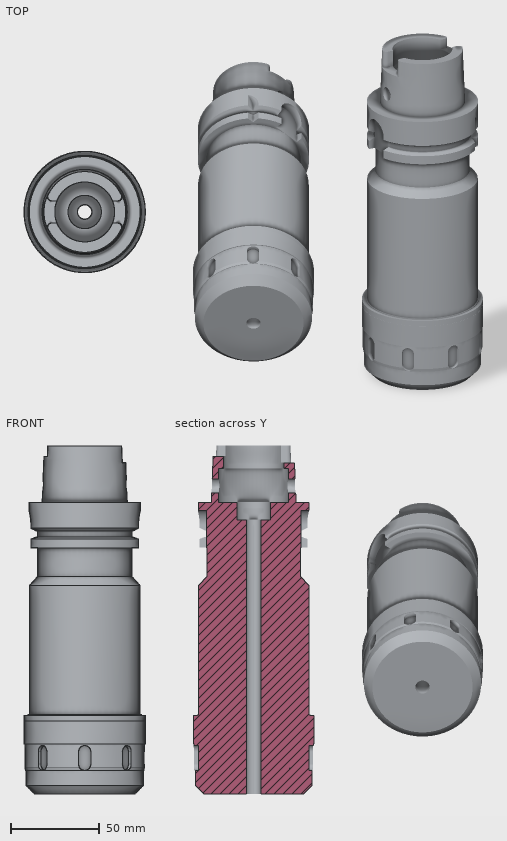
import cadquery as cq

LENGTH = 197.0

NOSE_FACE_DIAMETER = 56.7
NOSE_DIAMETER = 66.4
NOSE_CHAMFER_HEIGHT = (NOSE_DIAMETER - NOSE_FACE_DIAMETER) / 2
NOSE_TOP_Z = 13.2
GRIP_EDGE_DIAMETER = 67.0
GRIP_EDGE_TOP_Z = 15.0
GRIP_DIAMETER = 67.8
GRIP_TOP_Z = 28.4
RING_DIAMETER = 68.8
RIM_DIAMETER = 68.5
RIM_Z = 41.4
RING_TOP_Z = 44.5

SLOT_COUNT = 8
SLOT_WIDTH = 6.9
SLOT_BOTTOM_Z = 13.4
SLOT_TOP_Z = 27.4
SLOT_FLOOR_X = 31.5

COLLAR_DIAMETER = 64.2
COLLAR_HEIGHT = 0.4
COLLAR_TOP_Z = RING_TOP_Z + COLLAR_HEIGHT
BODY_DIAMETER = 62.6
BODY_TOP_Z = 118.0
NECK_DIAMETER = 53.4
NECK_START_Z = 123.1

FLANGE_DIAMETER = 63.0
FLANGE_BOTTOM_Z = 139.3
FLANGE_TOP_Z = 165.0
GROOVE_DIAMETER = 55.5
GROOVE_LIP_DIAMETER = 57.1
GROOVE_MOUTH_LOW_Z = 144.2
GROOVE_LOW_Z = 145.4
GROOVE_HIGH_Z = 149.0
GROOVE_MOUTH_HIGH_Z = 150.5

KEYWAY_WIDTH = 16.0
KEYWAY_TOP_Z = 160.4
KEYWAY_FLOOR_X = 26.8
NOTCH_EDGE = 20.0

SHANK_BASE_DIAMETER = 48.3
SHANK_TOP_DIAMETER = 45.7
BORE_DIAMETER = 33.9
BORE_DEPTH = 12.8
RELIEF_DIAMETER = 39.4
RELIEF_FLOOR_Z = FLANGE_TOP_Z
COUNTERBORE_DIAMETER = 19.0
COUNTERBORE_DEPTH = 9.8
COOLANT_DIAMETER = 8.0
CROSS_HOLE_DIAMETER = 7.9
CROSS_HOLE_Z = 174.3

DRIVE_WIDTH = 12.6
DRIVE_DEPTHS = {-1: 6.0, 1: 9.5}
DRIVE_FILLET = 2.4

REACH = 2 * RING_DIAMETER


def turned_body():
    """Solid of revolution about Z that carries every outer diameter."""
    steps = [
        (0, 0),
        (NOSE_FACE_DIAMETER, 0),
        (NOSE_DIAMETER, NOSE_CHAMFER_HEIGHT),
        (NOSE_DIAMETER, NOSE_TOP_Z),
        (GRIP_EDGE_DIAMETER, NOSE_TOP_Z),
        (GRIP_DIAMETER, GRIP_EDGE_TOP_Z),
        (GRIP_DIAMETER, GRIP_TOP_Z),
        (RING_DIAMETER, GRIP_TOP_Z),
        (RING_DIAMETER, RIM_Z),
        (RIM_DIAMETER, RIM_Z),
        (RIM_DIAMETER, RING_TOP_Z),
        (COLLAR_DIAMETER, RING_TOP_Z),
        (COLLAR_DIAMETER, COLLAR_TOP_Z),
        (BODY_DIAMETER, COLLAR_TOP_Z),
        (BODY_DIAMETER, BODY_TOP_Z),
        (NECK_DIAMETER, NECK_START_Z),
        (NECK_DIAMETER, FLANGE_BOTTOM_Z),
        (FLANGE_DIAMETER, FLANGE_BOTTOM_Z),
        (FLANGE_DIAMETER, GROOVE_MOUTH_LOW_Z),
        (GROOVE_LIP_DIAMETER, GROOVE_LOW_Z),
        (GROOVE_DIAMETER, GROOVE_LOW_Z),
        (GROOVE_DIAMETER, GROOVE_HIGH_Z),
        (GROOVE_LIP_DIAMETER, GROOVE_HIGH_Z),
        (FLANGE_DIAMETER, GROOVE_MOUTH_HIGH_Z),
        (FLANGE_DIAMETER, FLANGE_TOP_Z),
        (SHANK_BASE_DIAMETER, FLANGE_TOP_Z),
        (SHANK_TOP_DIAMETER, LENGTH),
        (0, LENGTH),
    ]
    profile = [(diameter / 2, z) for diameter, z in steps]
    return cq.Workplane("XZ").polyline(profile).close().revolve(360, (0, 0, 0), (0, 1, 0))


def cylinder(diameter, bottom_z, top_z):
    """Upright cylinder on the Z axis between two heights."""
    return cq.Workplane("XY").workplane(offset=bottom_z).circle(diameter / 2).extrude(top_z - bottom_z)


def cut_drive_slots(shank):
    """Two open slots in the shank end, the +X one deeper than the -X one."""
    for side, depth in DRIVE_DEPTHS.items():
        slot = cq.Workplane("XY").box(REACH, DRIVE_WIDTH, 2 * depth)
        shank = shank.cut(slot.translate((side * REACH / 2, 0, LENGTH)))
    return shank


def round_drive_slots(shank):
    """Round the upright edges where the drive slots leave the outer taper."""
    inner_x = (BORE_DIAMETER + SHANK_TOP_DIAMETER) / 4
    half_y = DRIVE_WIDTH / 2
    margin = 0.2
    for side, depth in DRIVE_DEPTHS.items():
        mid_z = LENGTH - depth / 2
        near = (side * inner_x, -half_y - margin, mid_z - margin)
        far = (side * REACH, half_y + margin, mid_z + margin)
        shank = shank.edges(cq.selectors.BoxSelector(near, far)).fillet(DRIVE_FILLET)
    return shank


def cross_hole():
    """Hole along X through both sides of the shank wall."""
    return (
        cq.Workplane("YZ")
        .center(0, CROSS_HOLE_Z)
        .circle(CROSS_HOLE_DIAMETER / 2)
        .extrude(REACH, both=True)
    )


def keyway(center_y, floor_x):
    """Round-topped slot open at the flange underside, cut in from -X down to floor_x."""
    half = KEYWAY_WIDTH / 2
    spring_z = KEYWAY_TOP_Z - half
    return (
        cq.Workplane("YZ", origin=(-floor_x, 0, 0))
        .moveTo(center_y - half, FLANGE_BOTTOM_Z)
        .lineTo(center_y - half, spring_z)
        .threePointArc((center_y, KEYWAY_TOP_Z), (center_y + half, spring_z))
        .lineTo(center_y + half, FLANGE_BOTTOM_Z)
        .close()
        .extrude(-REACH)
    )


def wrench_slot(angle):
    """Upright obround pocket with a flat floor in the nut."""
    return (
        cq.Workplane("YZ", origin=(SLOT_FLOOR_X, 0, (SLOT_BOTTOM_Z + SLOT_TOP_Z) / 2))
        .slot2D(SLOT_TOP_Z - SLOT_BOTTOM_Z, SLOT_WIDTH, 90)
        .extrude(REACH)
        .rotate((0, 0, 0), (0, 0, 1), angle)
    )


result = turned_body()

result = result.cut(cylinder(BORE_DIAMETER, RELIEF_FLOOR_Z, LENGTH))
result = cut_drive_slots(result)
result = round_drive_slots(result)

result = result.cut(cylinder(RELIEF_DIAMETER, RELIEF_FLOOR_Z, LENGTH - BORE_DEPTH))
result = result.cut(cylinder(COUNTERBORE_DIAMETER, RELIEF_FLOOR_Z - COUNTERBORE_DEPTH, RELIEF_FLOOR_Z))
result = result.cut(cylinder(COOLANT_DIAMETER, 0, RELIEF_FLOOR_Z))
result = result.cut(cross_hole())

main_keyway = keyway(0, KEYWAY_FLOOR_X)
result = result.cut(main_keyway).cut(main_keyway.mirror("YZ"))
result = result.cut(keyway(NOTCH_EDGE + KEYWAY_WIDTH / 2, NOTCH_EDGE))

for index in range(SLOT_COUNT):
    result = result.cut(wrench_slot(index * 360 / SLOT_COUNT))